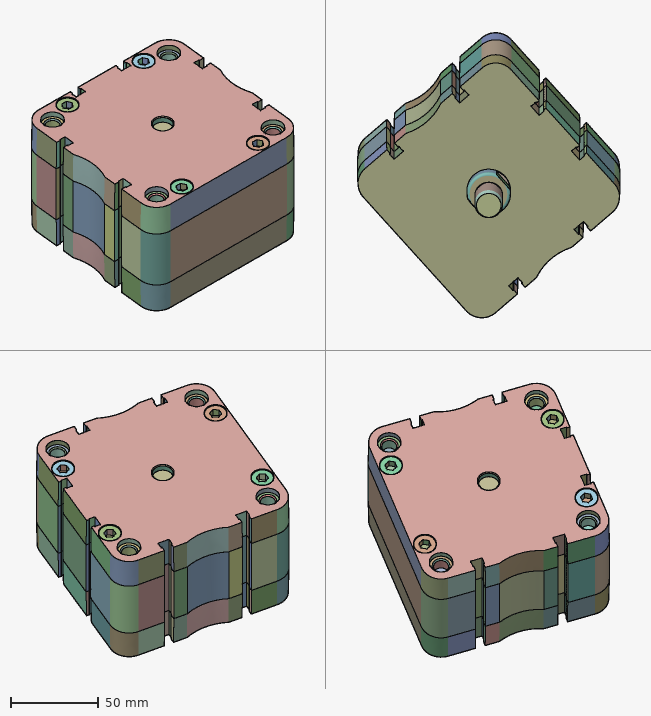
import cadquery as cq
import math

width = 113.5
block_height = 77.0
total_length = 115.0
rod_length = total_length - block_height
cap_height = 19.5
barrel_height = block_height - 2 * cap_height
half = width / 2

corner_radius = 12.2
draft_angle = 1.0
wave_half_width = 13.3
wave_depth = 2.8

slot_opening = 5.9
slot_width = 7.0
y_slot_offset = 25.0
y_slot_lip = 3.5
y_slot_depth = 7.2
x_slot_offset = 17.5
x_slot_lip = 2.3
x_slot_depth = 6.0

mount_offset = 44.6
mount_bore_diameter = 13.5
mount_bore_depth = 3.5
mount_mouth_diameter = 10.1
mount_hole_diameter = 8.5
mount_hole_depth = 11.5

screw_x = 49.0
screw_y = 29.2
screw_recess_diameter = 13.1
screw_head_diameter = 12.6
screw_recess_depth = 0.6
hex_across_flats = 6.0
hex_depth = 4.6

centre_diameter = 12.0
centre_mouth_diameter = 13.1
centre_depth = 4.0

rod_diameter = 25.0
collar_length = 10.0
collar_fillet = 1.7
flat_distance = 22.0
flat_start = 2.8
neck_diameter = 14.0
neck_length = 2.8
thread_diameter = 16.0
tip_chamfer_height = 3.5


def block_outline():
    straight = half - corner_radius
    arc_inset = corner_radius * (1 - math.sqrt(0.5))
    arc_mid = half - arc_inset
    return (
        cq.Workplane("XY")
        .moveTo(-straight, -half)
        .lineTo(-wave_half_width, -half)
        .threePointArc((0, wave_depth - half), (wave_half_width, -half))
        .lineTo(straight, -half)
        .threePointArc((arc_mid, -arc_mid), (half, -straight))
        .lineTo(half, straight)
        .threePointArc((arc_mid, arc_mid), (straight, half))
        .lineTo(wave_half_width, half)
        .threePointArc((0, half - wave_depth), (-wave_half_width, half))
        .lineTo(-straight, half)
        .threePointArc((-arc_mid, arc_mid), (-half, straight))
        .lineTo(-half, -straight)
        .threePointArc((-arc_mid, -arc_mid), (-straight, -half))
        .close()
    )


def t_slot(lip, depth):
    """T-slot entering the -X side at y = 0, over the full block height."""
    mouth = cq.Workplane("XY").box(2 * depth, slot_opening, block_height, centered=(True, True, False))
    pocket = cq.Workplane("XY").box(depth - lip, slot_width, block_height, centered=(False, True, False))
    return mouth.union(pocket.translate((lip, 0, 0))).translate((-half, 0, 0))


def cut_slots(body):
    for side in (-1, 1):
        body = body.cut(t_slot(x_slot_lip, x_slot_depth).translate((0, side * x_slot_offset, 0)))
        for turn in (-90, 90):
            slot = t_slot(y_slot_lip, y_slot_depth).rotate((0, 0, 0), (0, 0, 1), turn)
            body = body.cut(slot.translate((side * y_slot_offset, 0, 0)))
    return body


def drafted_cap():
    """Cap standing on its wide face, tapering upwards."""
    return block_outline().extrude(cap_height, taper=draft_angle)


def make_barrel():
    return cut_slots(block_outline().extrude(barrel_height).translate((0, 0, cap_height)))


def chamfered_bore(mouth_diameter, bore_diameter, depth):
    """Blind bore below z = 0 with a 45-degree chamfer at its mouth."""
    mouth_radius = mouth_diameter / 2
    bore_radius = bore_diameter / 2
    return (
        cq.Workplane("XZ")
        .polyline([
            (0, 0),
            (mouth_radius, 0),
            (bore_radius, bore_radius - mouth_radius),
            (bore_radius, -depth),
            (0, -depth),
        ])
        .close()
        .revolve(360, (0, 0, 0), (0, 1, 0))
    )


def mounting_hole():
    bore = cq.Workplane("XY").circle(mount_bore_diameter / 2).extrude(-mount_bore_depth)
    thread = chamfered_bore(mount_mouth_diameter, mount_hole_diameter, mount_hole_depth - mount_bore_depth)
    return bore.union(thread.translate((0, 0, -mount_bore_depth)))


def screw_head_recess():
    """Shallow recess with a bevelled screw head and its hexagon socket at the bottom."""
    recess_radius = screw_recess_diameter / 2
    head_radius = screw_head_diameter / 2
    groove_depth = screw_recess_depth + recess_radius - head_radius
    recess = (
        cq.Workplane("XZ")
        .polyline([
            (0, 0),
            (recess_radius, 0),
            (recess_radius, -groove_depth),
            (head_radius, -screw_recess_depth),
            (0, -screw_recess_depth),
        ])
        .close()
        .revolve(360, (0, 0, 0), (0, 1, 0))
    )
    hex_across_corners = hex_across_flats / math.cos(math.pi / 6)
    socket = cq.Workplane("XY").polygon(6, hex_across_corners).extrude(-screw_recess_depth - hex_depth)
    return recess.union(socket.rotate((0, 0, 0), (0, 0, 1), 90))


def make_top_cap():
    cap = cut_slots(drafted_cap().translate((0, 0, block_height - cap_height)))
    centre_recess = chamfered_bore(centre_mouth_diameter, centre_diameter, centre_depth)
    cap = cap.cut(centre_recess.translate((0, 0, block_height)))
    for x_side in (-1, 1):
        for y_side in (-1, 1):
            mount_place = (x_side * mount_offset, y_side * mount_offset, block_height)
            screw_place = (x_side * screw_x, y_side * screw_y, block_height)
            cap = cap.cut(mounting_hole().translate(mount_place))
            cap = cap.cut(screw_head_recess().translate(screw_place))
    return cap


def make_bottom_cap():
    return cut_slots(drafted_cap().mirror("XY").translate((0, 0, cap_height)))


def flat_cutter(side):
    """Wedge-ended prism that mills one wrench flat, running out at 45 degrees towards the block."""
    inner = side * flat_distance / 2
    outer = side * rod_diameter / 2
    runout = (rod_diameter - flat_distance) / 2
    return (
        cq.Workplane("XZ")
        .polyline([
            (inner, -flat_start),
            (outer, runout - flat_start),
            (outer, -collar_length),
            (inner, -collar_length),
        ])
        .close()
        .extrude(rod_diameter, both=True)
    )


def make_rod():
    rod_radius = rod_diameter / 2
    neck_radius = neck_diameter / 2
    thread_radius = thread_diameter / 2
    thread_top = -collar_length - neck_length
    runout = thread_radius - neck_radius
    shaft = (
        cq.Workplane("XZ")
        .polyline([
            (0, -collar_length),
            (neck_radius, -collar_length),
            (neck_radius, thread_top),
            (thread_radius, thread_top - runout),
            (thread_radius, tip_chamfer_height - rod_length),
            (neck_radius, -rod_length),
            (0, -rod_length),
        ])
        .close()
        .revolve(360, (0, 0, 0), (0, 1, 0))
    )
    collar = cq.Workplane("XY").circle(rod_radius).extrude(-collar_length)
    collar = collar.faces("<Z").edges().fillet(collar_fillet)
    for side in (-1, 1):
        collar = collar.cut(flat_cutter(side))
    return collar.union(shaft)


barrel = make_barrel()
top_cap = make_top_cap()
bottom_cap = make_bottom_cap()
rod = make_rod()
result = cq.Compound.makeCompound([barrel.val(), top_cap.val(), bottom_cap.val(), rod.val()])